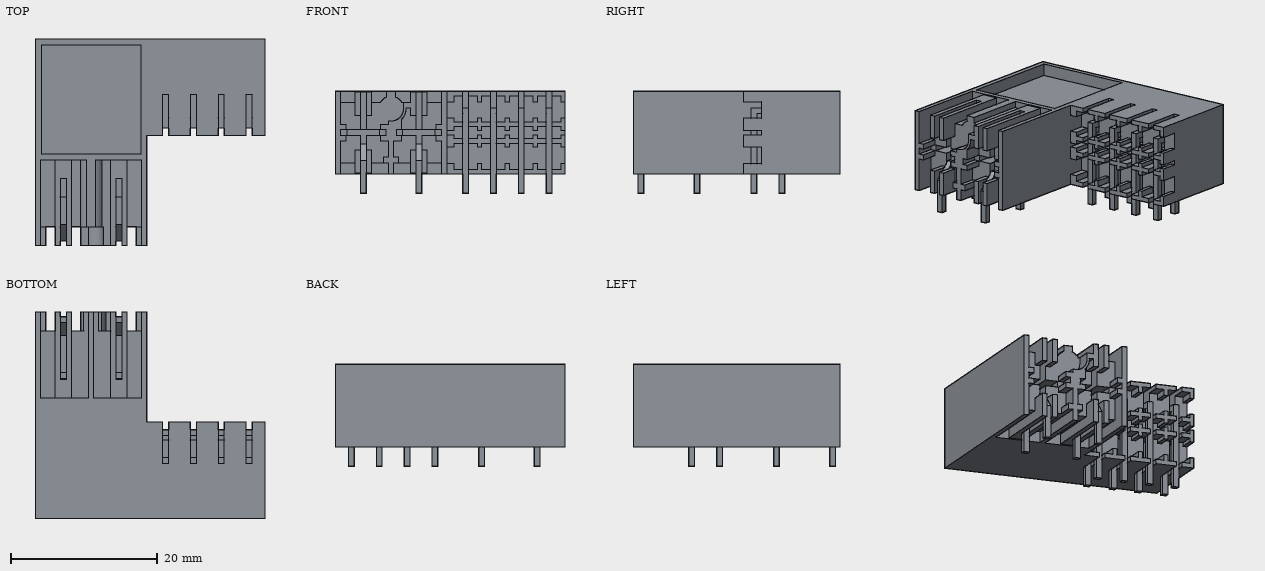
import cadquery as cq
import math

LENGTH = 31.45
DEPTH = 28.3
TOTAL_HEIGHT = 14.0
HEIGHT = 11.35
MID_Z = HEIGHT / 2
PIN_TIP_Z = HEIGHT - TOTAL_HEIGHT

POWER_WIDTH = 15.25
POWER_MID_X = POWER_WIDTH / 2
SIGNAL_FRONT = 15.05
POWER_REACH = 2.58
SIGNAL_REACH = 2.45
WALL = 0.72

PIN = 0.82
POWER_PITCH = 7.6
POWER_XS = [POWER_MID_X + side * POWER_PITCH / 2 for side in (-1, 1)]
SIGNAL_PITCH = 3.8
SIGNAL_FIRST_X = 17.83
SIGNAL_XS = [SIGNAL_FIRST_X + i * SIGNAL_PITCH for i in range(4)]
FRONT_PIN_Y = 0.63
REAR_PIN_Y = 8.3
SIGNAL_PIN_SETBACK = 1.05
FRONT_SIGNAL_PIN_Y = SIGNAL_FRONT + SIGNAL_PIN_SETBACK

CHANNEL_END = 11.75
CHANNEL_HEIGHT = 1.55
RAIL_WIDTH = 2.25
RAIL_HEIGHT = 3.2
RAIL_INSET = 0.13
POWER_SLOT_END = 9.2
BLADE_SLOT_END = 6.7
BLADE_SLOT_WIDTH = 4.45
BLADE_SLOT_HEIGHT = 0.82
BEND_TOP_Z = 4.12
BEND_RUN = 2.25

TAB_REACH = 0.72
TAB_HEIGHT = 2.25
WEB_TAB_WIDTH = 2.9
WEB_TAB_WAIST = 1.45
WEB_FOOT_WIDTH = 2.08
WEB_FOOT_HEIGHT = 0.82

WEB_TOP_WIDTH = 1.25
GUIDE_RADIUS = 1.7
GUIDE_AXIS_DROP = 2.4
GUIDE_Z = HEIGHT - GUIDE_AXIS_DROP
CUP_RADIUS = 2.05
SHELF_THICKNESS = 0.72

PLATE_THICKNESS = 0.63
OUTER_RIB_HEIGHT = 0.82
MID_RIB_HEIGHT = 0.55
MID_PLATE_OFFSET = 1.13
SIGNAL_SLOT_END = 20.73
SIGNAL_SLOT_DEPTH = 4.2
SIGNAL_ARM_DROP = 2.25

POCKET_MARGIN = 0.82
POCKET_FRONT = 12.58
POCKET_DEPTH = 1.65


def block(x0, x1, y0, y1, z0, z1):
    return cq.Workplane("XY").box(x1 - x0, y1 - y0, z1 - z0, centered=False).translate((x0, y0, z0))


def centred_block(x, width, y0, y1, z0, z1):
    return block(x - width / 2, x + width / 2, y0, y1, z0, z1)


def guide_rod(radius, y0, y1):
    rod = cq.Workplane("XZ", origin=(POWER_MID_X, y0, GUIDE_Z)).circle(radius)
    return rod.extrude(y0 - y1)


def side_walls():
    left = block(0, WALL, 0, DEPTH, 0, HEIGHT)
    right = block(POWER_WIDTH - WALL, POWER_WIDTH, 0, DEPTH, 0, HEIGHT)
    return left.union(right)


def core_blocks():
    power = block(0, POWER_WIDTH, POWER_REACH, CHANNEL_END, CHANNEL_HEIGHT, HEIGHT - CHANNEL_HEIGHT)
    power_rear = block(0, POWER_WIDTH, CHANNEL_END, DEPTH, 0, HEIGHT)
    signal = block(POWER_WIDTH, LENGTH, SIGNAL_FRONT + SIGNAL_REACH, DEPTH, 0, HEIGHT)
    return power.union(power_rear).union(signal)


def web():
    lower = centred_block(POWER_MID_X, WALL, 0, CHANNEL_END, 0, MID_Z)
    foot = centred_block(
        POWER_MID_X, WEB_FOOT_WIDTH, 0, POWER_REACH, CHANNEL_HEIGHT, CHANNEL_HEIGHT + WEB_FOOT_HEIGHT
    )
    top = centred_block(POWER_MID_X, WEB_TOP_WIDTH, POWER_REACH, CHANNEL_END, GUIDE_Z, HEIGHT)
    return lower.union(foot).union(top).union(guide_rod(GUIDE_RADIUS, POWER_REACH, CHANNEL_END))


def guide_cup():
    """Quarter-round cup whose flank rises straight above the guide axis to a flat shelf."""
    left_x = POWER_MID_X - WALL / 2
    shelf_z = HEIGHT - CHANNEL_HEIGHT
    ring = guide_rod(CUP_RADIUS, 0, POWER_REACH).intersect(
        block(left_x, POWER_WIDTH, 0, POWER_REACH, 0, shelf_z)
    )
    support_x = POWER_MID_X + WEB_TAB_WIDTH / 2
    groove_top = MID_Z + BLADE_SLOT_HEIGHT / 2
    support = block(left_x, support_x, 0, POWER_REACH, groove_top, GUIDE_Z)
    shelf = block(
        POWER_MID_X, POWER_XS[1] - RAIL_WIDTH / 2, 0, POWER_REACH, shelf_z - SHELF_THICKNESS, shelf_z
    )
    opening = guide_rod(GUIDE_RADIUS, 0, POWER_REACH)
    opening = opening.union(centred_block(POWER_MID_X, 2 * GUIDE_RADIUS, 0, POWER_REACH, GUIDE_Z, HEIGHT))
    return ring.union(support).union(shelf).cut(opening)


def guide_tabs():
    z0 = MID_Z - TAB_HEIGHT / 2
    z1 = MID_Z + TAB_HEIGHT / 2
    groove_z0 = MID_Z - BLADE_SLOT_HEIGHT / 2
    groove_z1 = MID_Z + BLADE_SLOT_HEIGHT / 2
    tabs = centred_block(POWER_MID_X, WEB_TAB_WIDTH, 0, POWER_REACH, z0, z1)
    for x in (WALL, POWER_WIDTH - WALL - TAB_REACH):
        tabs = tabs.union(block(x, x + TAB_REACH, 0, POWER_REACH, z0, z1))
    waist = centred_block(POWER_MID_X, WEB_TAB_WAIST, 0, POWER_REACH, groove_z0, groove_z1)
    return tabs.cut(block(0, POWER_WIDTH, 0, POWER_REACH, groove_z0, groove_z1)).union(waist)


def power_rails():
    rails = cq.Workplane("XY")
    for x in POWER_XS:
        for z in (RAIL_INSET, HEIGHT - RAIL_INSET - RAIL_HEIGHT):
            rails = rails.union(centred_block(x, RAIL_WIDTH, 0, CHANNEL_END, z, z + RAIL_HEIGHT))
    return rails


def power_slots():
    blade_z0 = MID_Z - BLADE_SLOT_HEIGHT / 2
    blade_z1 = MID_Z + BLADE_SLOT_HEIGHT / 2
    slots = cq.Workplane("XY")
    for x in POWER_XS:
        upper = centred_block(x, PIN, 0, POWER_SLOT_END, blade_z1, HEIGHT)
        middle = centred_block(x, PIN, 0, BLADE_SLOT_END, BEND_TOP_Z, blade_z1)
        lower = centred_block(x, PIN, 0, POWER_SLOT_END, 0, BEND_TOP_Z)
        blade = centred_block(x, BLADE_SLOT_WIDTH, POWER_REACH, BLADE_SLOT_END, blade_z0, blade_z1)
        slots = slots.union(upper).union(middle).union(lower).union(blade)
    return slots


def power_pins():
    """Front pins bent at 45 degrees from an arm in the lower slot, and straight rear pins."""
    pin_back_y = FRONT_PIN_Y + PIN
    bend_top_y = FRONT_PIN_Y + BEND_RUN
    arm_under_z = BEND_TOP_Z - PIN
    bend_offset = PIN * math.tan(math.radians(22.5))
    inner_bend_z = BEND_TOP_Z - BEND_RUN - bend_offset
    profile = [
        (POWER_SLOT_END, BEND_TOP_Z),
        (bend_top_y, BEND_TOP_Z),
        (FRONT_PIN_Y, BEND_TOP_Z - BEND_RUN),
        (FRONT_PIN_Y, PIN_TIP_Z),
        (pin_back_y, PIN_TIP_Z),
        (pin_back_y, inner_bend_z),
        (bend_top_y + bend_offset, arm_under_z),
        (POWER_SLOT_END, arm_under_z),
    ]
    pins = cq.Workplane("XY")
    for x in POWER_XS:
        front = cq.Workplane("YZ", origin=(x, 0, 0)).polyline(profile).close().extrude(PIN / 2, both=True)
        rear = centred_block(x, PIN, REAR_PIN_Y, REAR_PIN_Y + PIN, PIN_TIP_Z, BEND_TOP_Z)
        pins = pins.union(front).union(rear)
    return pins


def ribbed_plate(z, rib_below, rib_above):
    """Finger plate with its underside at z and ribs midway between the pins."""
    back_y = SIGNAL_FRONT + SIGNAL_REACH
    plate = block(POWER_WIDTH, LENGTH, SIGNAL_FRONT, back_y, z, z + PLATE_THICKNESS)
    rib_xs = [SIGNAL_FIRST_X + (i - 0.5) * SIGNAL_PITCH for i in range(len(SIGNAL_XS) + 1)]
    rib_width = 2 * (LENGTH - rib_xs[-1])
    rib_top = z + PLATE_THICKNESS + rib_above
    for x in rib_xs:
        plate = plate.union(centred_block(x, rib_width, SIGNAL_FRONT, back_y, z - rib_below, rib_top))
    first_rib_end = rib_xs[0] + rib_width / 2
    return plate.union(block(POWER_WIDTH, first_rib_end, SIGNAL_FRONT, back_y, z - rib_below, rib_top))


def signal_fingers():
    half = PLATE_THICKNESS / 2
    fingers = ribbed_plate(0, 0, OUTER_RIB_HEIGHT)
    fingers = fingers.union(ribbed_plate(HEIGHT - PLATE_THICKNESS, OUTER_RIB_HEIGHT, 0))
    for z in (MID_Z - MID_PLATE_OFFSET, MID_Z + MID_PLATE_OFFSET):
        fingers = fingers.union(ribbed_plate(z - half, MID_RIB_HEIGHT, MID_RIB_HEIGHT))
    return fingers


def signal_slots():
    slots = cq.Workplane("XY")
    for x in SIGNAL_XS:
        gap = centred_block(x, PIN, SIGNAL_FRONT, SIGNAL_FRONT + SIGNAL_REACH, 0, HEIGHT)
        upper = centred_block(x, PIN, SIGNAL_FRONT, SIGNAL_SLOT_END, HEIGHT - SIGNAL_SLOT_DEPTH, HEIGHT)
        lower = centred_block(x, PIN, SIGNAL_FRONT, SIGNAL_SLOT_END, 0, SIGNAL_SLOT_DEPTH)
        slots = slots.union(gap).union(upper).union(lower)
    return slots


def signal_pins():
    """Front pins hung from an arm in the upper slot, and rear pins standing in the lower slot."""
    top_z = HEIGHT - SIGNAL_ARM_DROP
    pins = cq.Workplane("XY")
    for x in SIGNAL_XS:
        front = centred_block(x, PIN, FRONT_SIGNAL_PIN_Y, FRONT_SIGNAL_PIN_Y + PIN, PIN_TIP_Z, top_z)
        arm = centred_block(x, PIN, FRONT_SIGNAL_PIN_Y, SIGNAL_SLOT_END, top_z - PIN, top_z)
        rear = centred_block(x, PIN, SIGNAL_SLOT_END - PIN, SIGNAL_SLOT_END, PIN_TIP_Z, SIGNAL_SLOT_DEPTH)
        pins = pins.union(front).union(arm).union(rear)
    return pins


def top_pocket():
    return block(
        POCKET_MARGIN,
        POWER_WIDTH - POCKET_MARGIN,
        POCKET_FRONT,
        DEPTH - POCKET_MARGIN,
        HEIGHT - POCKET_DEPTH,
        HEIGHT,
    )


housing = side_walls().union(core_blocks()).union(web()).union(guide_cup()).union(guide_tabs())
housing = housing.union(power_rails()).union(signal_fingers())
housing = housing.cut(power_slots()).cut(signal_slots()).cut(top_pocket())
result = housing.union(power_pins()).union(signal_pins())